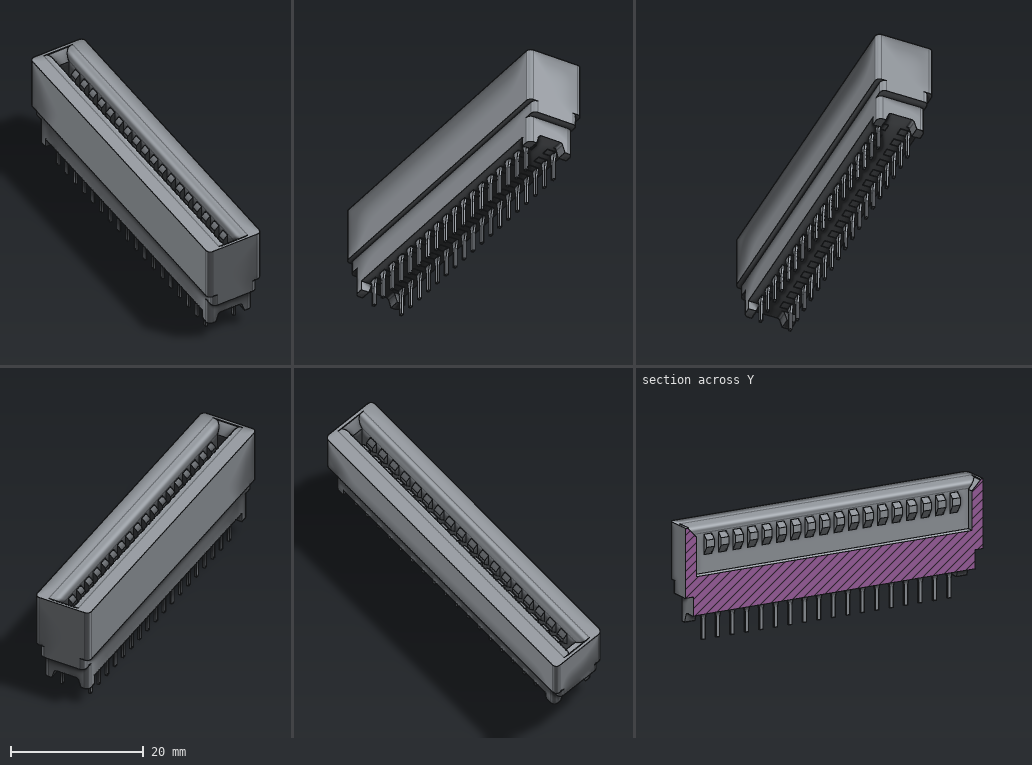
import cadquery as cq
import math

length = 52.3
upper_width = 9.35
lower_width = 7.75
upper_bottom = -9.0
shoulder_bottom = -11.05
base_bottom = -14.0
leg_bottom = -15.6
base_inset = 1.35
base_length = length - 2 * base_inset
corner_radius = 0.8

foot_length = 1.85
arch_top_width = 4.0
arch_bottom_width = 5.0
arch_corner_radius = 0.45

end_wall = 0.5
slot_width = 2.05
lip_radius = 1.5
bevel_start = -0.15
bevel_bottom = -1.7
bevel_run = 1.45
slot_floor = -7.85

contact_count = 18
row_length = 43.2
pitch = row_length / (contact_count - 1)
contact_width = 1.35
contact_gap = 0.45
contact_top = -1.8
contact_tip_top = -2.5
contact_tip_bottom = -3.65
contact_bottom = -4.95
pin_tip = -18.7
pin_row_spacing = 4.85
pin_thickness = 0.35
pin_width = 0.6
pin_root_width = 1.3
pin_flare_height = 1.45
tail_inner_y = 1.0
tail_depth = 0.1
overlap = 0.1

contact_xs = [-row_length / 2 + i * pitch for i in range(contact_count)]


def rounded_block(x_size, y_size, bottom, top):
    """Upright block with its four vertical edges rounded."""
    block = cq.Workplane("XY").workplane(offset=bottom).rect(x_size, y_size).extrude(top - bottom)
    return block.edges("|Z").fillet(corner_radius)


def make_housing():
    """Three stacked rounded blocks, cleared below to leave an arched foot at each end."""
    upper = rounded_block(length, upper_width, upper_bottom, 0)
    shoulder = rounded_block(length, lower_width, shoulder_bottom, upper_bottom)
    base = rounded_block(base_length, lower_width, leg_bottom, shoulder_bottom)
    foot_height = base_bottom - leg_bottom
    between_feet = (
        cq.Workplane("XY")
        .workplane(offset=leg_bottom)
        .rect(base_length - 2 * foot_length, lower_width)
        .extrude(foot_height)
    )
    arch = (
        cq.Workplane("YZ")
        .polyline([
            (-arch_bottom_width / 2, leg_bottom),
            (-arch_top_width / 2, base_bottom),
            (arch_top_width / 2, base_bottom),
            (arch_bottom_width / 2, leg_bottom),
        ])
        .close()
        .extrude(base_length / 2, both=True)
        .edges("|X and >Z")
        .fillet(arch_corner_radius)
    )
    return upper.union(shoulder).union(base.cut(between_feet).cut(arch))


def make_slot():
    """Space for the card: the lip section along X, trimmed to the bevelled end section."""
    half_width = slot_width / 2
    lip_outer = half_width + lip_radius
    arc_offset = lip_radius * (1 - math.cos(math.radians(45)))
    cross_section = (
        cq.Workplane("YZ")
        .moveTo(-half_width, slot_floor)
        .lineTo(-half_width, -lip_radius)
        .threePointArc((-half_width - arc_offset, -arc_offset), (-lip_outer, 0))
        .lineTo(lip_outer, 0)
        .threePointArc((half_width + arc_offset, -arc_offset), (half_width, -lip_radius))
        .lineTo(half_width, slot_floor)
        .close()
        .extrude(length / 2, both=True)
    )
    mouth_x = length / 2 - end_wall
    inner_x = mouth_x - bevel_run
    long_section = (
        cq.Workplane("XZ")
        .polyline([
            (-mouth_x, 0),
            (-mouth_x, bevel_start),
            (-inner_x, bevel_bottom),
            (-inner_x, slot_floor),
            (inner_x, slot_floor),
            (inner_x, bevel_bottom),
            (mouth_x, bevel_start),
            (mouth_x, 0),
        ])
        .close()
        .extrude(upper_width / 2, both=True)
    )
    return cross_section.intersect(long_section)


def make_contact(x, side):
    """Contact bulging from one slot wall towards the middle; side is -1 or 1 along Y."""
    root_y = side * (slot_width / 2 + overlap)
    wall_y = side * slot_width / 2
    tip_y = side * contact_gap / 2
    return (
        cq.Workplane("YZ", origin=(x, 0, 0))
        .polyline([
            (root_y, contact_top),
            (wall_y, contact_top),
            (tip_y, contact_tip_top),
            (tip_y, contact_tip_bottom),
            (wall_y, contact_bottom),
            (root_y, contact_bottom),
        ])
        .close()
        .extrude(contact_width / 2, both=True)
    )


def make_pin(x, side):
    """Flared solder pin with a thin tail running inwards under the base; side is -1 or 1 along Y."""
    flare_bottom = base_bottom - pin_flare_height
    row_offset = pin_row_spacing / 2
    tail_length = row_offset - tail_inner_y
    tail = cq.Workplane("XY").box(pin_root_width, tail_length, tail_depth + overlap).translate(
        (x, side * (tail_inner_y + tail_length / 2), base_bottom + (overlap - tail_depth) / 2)
    )
    blade = (
        cq.Workplane("XZ", origin=(x, side * row_offset, 0))
        .polyline([
            (-pin_root_width / 2, base_bottom + overlap),
            (-pin_root_width / 2, base_bottom),
            (-pin_width / 2, flare_bottom),
            (-pin_width / 2, pin_tip),
            (pin_width / 2, pin_tip),
            (pin_width / 2, flare_bottom),
            (pin_root_width / 2, base_bottom),
            (pin_root_width / 2, base_bottom + overlap),
        ])
        .close()
        .extrude(pin_thickness / 2, both=True)
    )
    return blade.union(tail)


metal = cq.Workplane("XY")
for contact_x in contact_xs:
    for row_side in (-1, 1):
        metal.add(make_contact(contact_x, row_side))
        metal.add(make_pin(contact_x, row_side))

housing = make_housing().cut(make_slot())
result = cq.Workplane(housing.val().fuse(*metal.vals()))